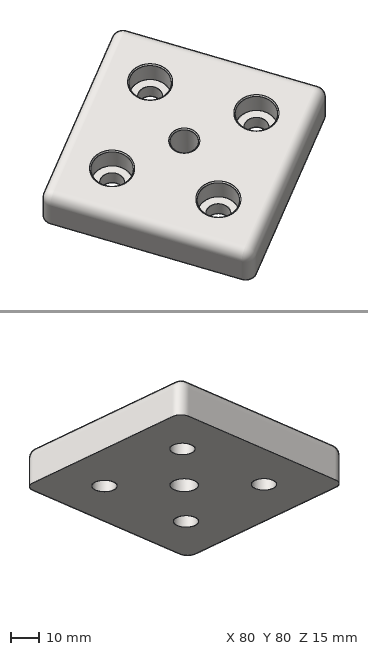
import cadquery as cq

side = 80.0
thickness = 15.0
edge_radius = 4.0

hole_spacing = side / 2
screw_diameter = 9.0
counterbore_diameter = 15.0
counterbore_depth = 9.0

center_diameter = 10.1

mouth_chamfer = 0.5


def bore(diameter, depth):
    """Cutter for a round hole sunk from the top face, with a bevelled mouth."""
    shaft = cq.Workplane("XY").workplane(offset=thickness - depth).circle(diameter / 2).extrude(depth)
    mouth = (
        cq.Workplane("XY")
        .workplane(offset=thickness)
        .circle(diameter / 2 + mouth_chamfer)
        .extrude(-mouth_chamfer, taper=45)
    )
    return shaft.union(mouth)


result = (
    cq.Workplane("XY")
    .box(side, side, thickness, centered=(True, True, False))
    .edges("|Z or >Z")
    .fillet(edge_radius)
)

result = result.cut(bore(center_diameter, thickness))

hole_offset = hole_spacing / 2
for x in (-hole_offset, hole_offset):
    for y in (-hole_offset, hole_offset):
        result = result.cut(bore(counterbore_diameter, counterbore_depth).translate((x, y, 0)))
        screw_hole = cq.Workplane("XY").center(x, y).circle(screw_diameter / 2).extrude(thickness)
        result = result.cut(screw_hole)